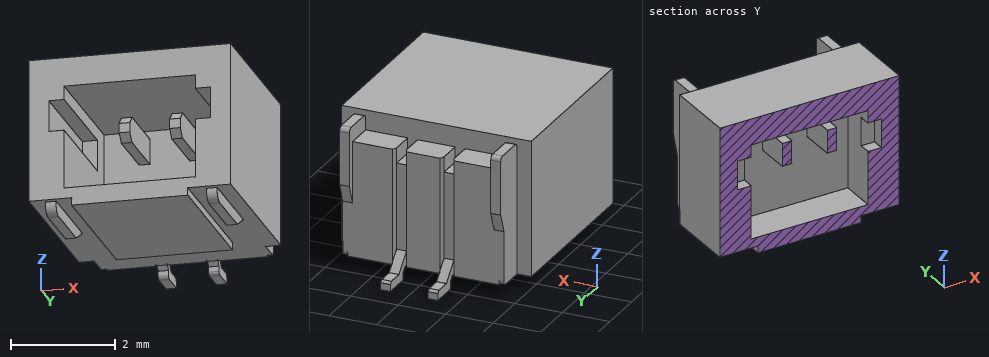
import cadquery as cq
import math


BODY_WIDTH = 4.0
BODY_LENGTH = 3.75
BODY_HEIGHT = 2.85
STANDOFF = 0.25

CAVITY_WIDTH = 2.6
CAVITY_FLOOR = 0.21
CAVITY_TOP = 2.27
CAVITY_DEPTH = 3.0
KEYWAY_SPAN = 3.2
KEYWAY_BOTTOM = 1.38
KEYWAY_TOP = 2.0
KEYWAY_DEPTH = 2.5

PAD_WIDTH = 2.3
PAD_LENGTH = 3.35
PAD_HEIGHT = 0.15

SHEET = 0.21

REAR_PLATE_THICKNESS = 0.6
REAR_PLATE_HEIGHT = 2.43
SLOT_LIP_WIDTH = 0.045
SLOT_LIP_DEPTH = 0.08

CONTACT_PITCH = 1.0
CONTACT_POSITIONS = (-CONTACT_PITCH / 2, CONTACT_PITCH / 2)
BLADE_BOTTOM = 1.6
BLADE_TOP = 2.11
BLADE_LENGTH = 1.5
BLADE_CHAMFER = 0.16
LEG_REAR = 0.51
TAIL_BEND = 0.86
TAIL_HEEL = 0.65
TAIL_END = 1.25
TAIL_THICKNESS = 0.2
TAIL_CHAMFER = 0.05
HEEL_RADIUS = 0.06
TAIL_HEEL_TOP = -0.085

HOLDDOWN_SPAN = 3.4
HOLDDOWN_TOP = 2.76
HOLDDOWN_UPPER_DEPTH = 0.75
HOLDDOWN_LOWER_DEPTH = 0.6
HOLDDOWN_TAPER_TOP = 1.55
HOLDDOWN_TAPER_BOTTOM = 1.14
HOLDDOWN_RADIUS = 0.09
FOOT_FRONT = 0.12
FOOT_RADIUS = 0.2
FOOT_FLAT_END = 1.63
FOOT_REAR = 2.1


def block(width, y_start, y_end, z_bottom, z_top):
    """Box centred across the width, between the given Y and Z limits."""
    return cq.Workplane("XY").box(
        width, y_end - y_start, z_top - z_bottom, centered=(True, False, False)
    ).translate((0, y_start, z_bottom))


def sheet_part(profile, x_center):
    """Closed YZ profile given the sheet thickness, centred on x_center."""
    return profile.extrude(SHEET / 2, both=True).translate((x_center, 0, 0))


def make_housing():
    housing = block(BODY_WIDTH, 0, BODY_LENGTH, 0, BODY_HEIGHT)
    pad = block(PAD_WIDTH, 0, PAD_LENGTH, -PAD_HEIGHT, 0)
    cavity = block(CAVITY_WIDTH, 0, CAVITY_DEPTH, CAVITY_FLOOR, CAVITY_TOP)
    keyways = block(KEYWAY_SPAN, 0, KEYWAY_DEPTH, KEYWAY_BOTTOM, KEYWAY_TOP)
    return housing.union(pad).cut(cavity).cut(keyways)


def make_rear_plate():
    """Plate behind the housing, with a flared slot around each contact."""
    rear = BODY_LENGTH + REAR_PLATE_THICKNESS
    plate = block(HOLDDOWN_SPAN - SHEET, BODY_LENGTH, rear, 0, REAR_PLATE_HEIGHT)
    slot_half = SHEET / 2
    mouth_half = slot_half + SLOT_LIP_WIDTH
    for x in CONTACT_POSITIONS:
        slot_outline = [
            (x - slot_half, BODY_LENGTH),
            (x - slot_half, rear - SLOT_LIP_DEPTH),
            (x - mouth_half, rear),
            (x + mouth_half, rear),
            (x + slot_half, rear - SLOT_LIP_DEPTH),
            (x + slot_half, BODY_LENGTH),
        ]
        plate = plate.cut(cq.Workplane("XY").polyline(slot_outline).close().extrude(REAR_PLATE_HEIGHT))
    return plate


def make_contact(x):
    """Blade in the cavity, leg behind the housing and bent tail."""
    tip = CAVITY_DEPTH - BLADE_LENGTH
    leg_rear = BODY_LENGTH + LEG_REAR
    heel = BODY_LENGTH + TAIL_HEEL
    tail_end = BODY_LENGTH + TAIL_END
    tail_top = TAIL_THICKNESS - STANDOFF
    bend_rise = TAIL_BEND - LEG_REAR
    heel_rise = -TAIL_HEEL_TOP
    profile = (
        cq.Workplane("YZ")
        .moveTo(tip + BLADE_CHAMFER, BLADE_TOP)
        .lineTo(leg_rear, BLADE_TOP)
        .lineTo(leg_rear, tail_top + bend_rise)
        .lineTo(BODY_LENGTH + TAIL_BEND, tail_top)
        .lineTo(tail_end - TAIL_CHAMFER, tail_top)
        .lineTo(tail_end, tail_top - TAIL_CHAMFER)
        .lineTo(tail_end, -STANDOFF)
        .lineTo(heel + HEEL_RADIUS, -STANDOFF)
        .radiusArc((heel, HEEL_RADIUS - STANDOFF), HEEL_RADIUS)
        .lineTo(heel, TAIL_HEEL_TOP)
        .lineTo(heel - heel_rise, 0)
        .lineTo(BODY_LENGTH, 0)
        .lineTo(BODY_LENGTH, BLADE_BOTTOM)
        .lineTo(tip + BLADE_CHAMFER, BLADE_BOTTOM)
        .lineTo(tip, BLADE_BOTTOM + BLADE_CHAMFER)
        .lineTo(tip, BLADE_TOP - BLADE_CHAMFER)
        .close()
    )
    return sheet_part(profile, x)


def make_holddown_tab(x):
    """Tab standing behind the housing, narrower at the bottom."""
    upper_rear = BODY_LENGTH + HOLDDOWN_UPPER_DEPTH
    lower_rear = BODY_LENGTH + HOLDDOWN_LOWER_DEPTH
    profile = (
        cq.Workplane("YZ")
        .moveTo(BODY_LENGTH, 0)
        .lineTo(lower_rear, 0)
        .lineTo(lower_rear, HOLDDOWN_TAPER_BOTTOM)
        .lineTo(upper_rear, HOLDDOWN_TAPER_TOP)
        .lineTo(upper_rear, HOLDDOWN_TOP)
        .lineTo(BODY_LENGTH, HOLDDOWN_TOP)
        .close()
    )
    tab = sheet_part(profile, x).edges("|X and >Z").fillet(HOLDDOWN_RADIUS)
    bottom_rear = cq.NearestToPointSelector((x, lower_rear, 0))
    return tab.edges("|X").edges(bottom_rear).fillet(HOLDDOWN_RADIUS)


def make_holddown_foot(x):
    """Foot under the housing, rounded in front and sloped at the rear."""
    arc_center_y = FOOT_FRONT + FOOT_RADIUS
    arc_center_z = FOOT_RADIUS - STANDOFF
    arc_start_y = arc_center_y - math.sqrt(FOOT_RADIUS**2 - arc_center_z**2)
    profile = (
        cq.Workplane("YZ")
        .moveTo(arc_start_y, 0)
        .threePointArc((FOOT_FRONT, arc_center_z), (arc_center_y, -STANDOFF))
        .lineTo(FOOT_FLAT_END, -STANDOFF)
        .lineTo(FOOT_REAR, 0)
        .close()
    )
    return sheet_part(profile, x)


result = make_housing().union(make_rear_plate())
for contact_x in CONTACT_POSITIONS:
    result = result.union(make_contact(contact_x))
for side in (-1, 1):
    holddown_x = side * (HOLDDOWN_SPAN - SHEET) / 2
    result = result.union(make_holddown_tab(holddown_x))
    result = result.union(make_holddown_foot(holddown_x))